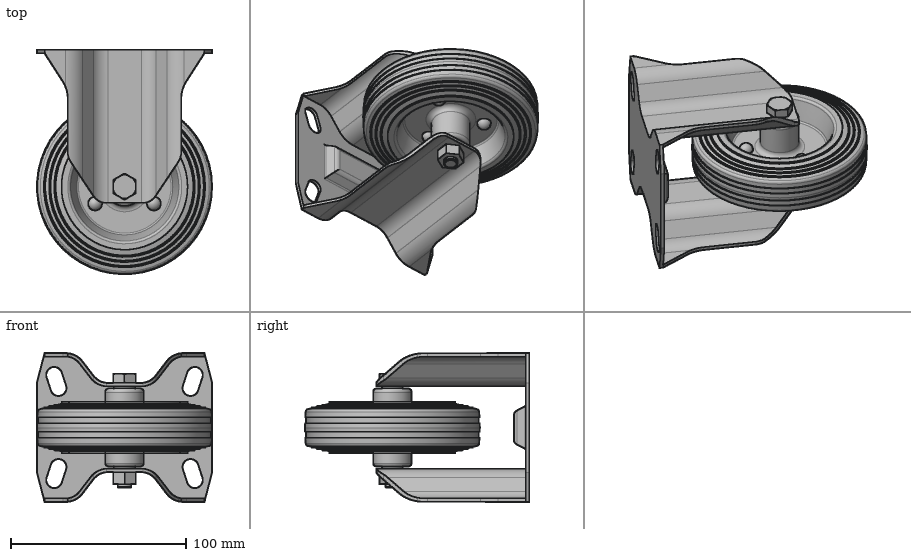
import cadquery as cq
import math


overall_length = 128.0
wheel_radius = 100.0 / 2
plate_back = overall_length - wheel_radius

sheet = 2.0
bracket_half_height = 42.5
bracket_waist_half_height = 25.5
plate_half_width = wheel_radius
plate_side_half_height = 25.6
plate_top_half_width = 45.6
outer_bend_x = 27.6
inner_bend_x = 14.6
outer_bend_radius = 12.3
inner_bend_radius = 10.4

leg_half_width = 32.4
leg_neck_distance = 22.5
leg_neck_radius = 18.4
leg_taper_distance = 61.3
leg_taper_radius = 10.6
leg_end_half_width = 15.1
leg_length = 87.3
leg_end_radius = 8.8

slot_width = 9.0
slot_outer_x = 40.0
slot_outer_z = 30.0
slot_inner_x = 37.6
slot_inner_z = 22.5

boss_height = 6.8
boss_half_width = 30.1
boss_half_height = 12.3
boss_taper = 27.0
boss_edge_radius = 3.1
boss_foot_radius = 1.0

rim_radius = 72.0 / 2
rim_half_width = 14.6
rim_sheet = 1.0
well_top_radius = 31.2
well_floor_radius = 27.1
well_lip_fillet = 1.7
well_floor_fillet = 1.0
web_half_thickness = 1.3
hub_radius = 22.0 / 2
hub_half_length = 22.3
hub_edge_fillet = 2.0
hub_root_fillet = 3.2
bead_radii = [39.7, 42.6, 45.6]
bead_width = 0.9
bead_apex_height = 1.0
bead_rounding = 0.4
shoulder_radius = 49.4
shoulder_half_width = 10.2
shoulder_fillet = 1.8
tread_radius = 49.8
tread_groove_radius = 49.3
tread_groove_inner = 2.4
tread_groove_outer = 5.9
rivet_radius = 8.0 / 2
rivet_circle_radius = 19.3
rivet_angles = [90, 210, 330]

sleeve_diameter = 12.0
bolt_diameter = 8.0
bolt_tip_diameter = 6.7
bolt_tip_length = 2.2
across_flats = 12.9
across_corners = across_flats / math.cos(math.radians(30))
head_height = 5.2
head_chamfer_diameter = 13.5
hex_chamfer_slope = math.tan(math.radians(30))
nut_height = 6.8


def rounded_outline(workplane, corners):
    """Close an outline through corners (x, y, radius); a radius of 0 leaves the corner sharp."""
    path = None
    for index, (x, y, radius) in enumerate(corners):
        corner = cq.Vector(x, y)
        before = cq.Vector(*corners[index - 1][:2])
        after = cq.Vector(*corners[(index + 1) % len(corners)][:2])
        to_before = (before - corner).normalized()
        to_after = (after - corner).normalized()
        half_turn = (math.pi - to_before.getAngle(to_after)) / 2
        setback = radius * math.tan(half_turn)
        arc_start = corner + to_before * setback
        if path is None:
            path = workplane.moveTo(arc_start.x, arc_start.y)
        else:
            path = path.lineTo(arc_start.x, arc_start.y)
        if radius > 0:
            bisector = (to_before + to_after).normalized()
            arc_middle = corner + bisector * (radius / math.cos(half_turn) - radius)
            arc_end = corner + to_after * setback
            path = path.threePointArc((arc_middle.x, arc_middle.y), (arc_end.x, arc_end.y))
    return path.close()


def both_sides(right_half):
    """Extend corners that run from the right edge inward with their mirror image across x = 0."""
    return right_half + [(-x, y, radius) for x, y, radius in reversed(right_half)]


def upside_down(corners):
    """Mirror corners across y = 0, in the reverse order."""
    return [(x, -y, radius) for x, y, radius in reversed(corners)]


def plate_plane():
    return cq.Workplane("XZ", origin=(0, plate_back, 0))


def leg_section(depth):
    """Corners of the bent leg section at a depth below the outer face of the sheet."""
    bend_rise = bracket_half_height - bracket_waist_half_height
    bend_angle = math.atan2(bend_rise, outer_bend_x - inner_bend_x)
    shift = depth * math.tan(bend_angle / 2)
    return both_sides([
        (plate_top_half_width, bracket_half_height - depth, 0),
        (outer_bend_x + shift, bracket_half_height - depth, outer_bend_radius - depth),
        (inner_bend_x + shift, bracket_waist_half_height - depth, inner_bend_radius + depth),
    ])


def make_plate():
    top_edge = leg_section(0)
    left_side = [
        (-plate_half_width, plate_side_half_height, 0),
        (-plate_half_width, -plate_side_half_height, 0),
    ]
    right_side = [(-x, -z, radius) for x, z, radius in left_side]
    corners = top_edge + left_side + upside_down(top_edge) + right_side
    return rounded_outline(plate_plane(), corners).extrude(sheet)


def make_slot(side_x, side_z):
    run_x = slot_outer_x - slot_inner_x
    run_z = slot_outer_z - slot_inner_z
    length = math.hypot(run_x, run_z) + slot_width
    angle = math.degrees(math.atan2(side_z * run_z, side_x * run_x))
    centre_x = side_x * (slot_outer_x + slot_inner_x) / 2
    centre_z = side_z * (slot_outer_z + slot_inner_z) / 2
    return plate_plane().center(centre_x, centre_z).slot2D(length, slot_width, angle).extrude(sheet)


def make_upper_leg():
    section = leg_section(0) + list(reversed(leg_section(sheet)))
    sheet_metal = rounded_outline(plate_plane(), section).extrude(leg_length)
    outline = both_sides([
        (plate_top_half_width, plate_back, 0),
        (plate_top_half_width, plate_back - sheet, 0),
        (leg_half_width, plate_back - leg_neck_distance, leg_neck_radius),
        (leg_half_width, plate_back - leg_taper_distance, leg_taper_radius),
        (leg_end_half_width, plate_back - leg_length, leg_end_radius),
    ])
    blank = rounded_outline(cq.Workplane("XY"), outline).extrude(bracket_half_height)
    return sheet_metal.intersect(blank)


def make_plate_with_boss():
    plate_front = plate_back - sheet
    boss = (
        cq.Workplane("XZ", origin=(0, plate_front, 0))
        .rect(2 * boss_half_width, 2 * boss_half_height)
        .extrude(boss_height, taper=boss_taper)
        .faces("<Y")
        .edges()
        .fillet(boss_edge_radius)
    )
    around_foot = cq.selectors.BoxSelector(
        (-boss_half_width - sheet, plate_front - sheet / 2, -boss_half_height - sheet),
        (boss_half_width + sheet, plate_front + sheet / 2, boss_half_height + sheet),
    )
    return make_plate().union(boss).edges(around_foot).fillet(boss_foot_radius)


def make_bracket():
    upper_leg = make_upper_leg()
    bracket = make_plate_with_boss().union(upper_leg).union(upper_leg.mirror("XY"))
    for side_x in (-1, 1):
        for side_z in (-1, 1):
            bracket = bracket.cut(make_slot(side_x, side_z))
    bolt_hole = cq.Workplane("XY").circle(bolt_diameter / 2).extrude(bracket_half_height, both=True)
    return bracket.cut(bolt_hole)


def side_beads():
    """Rounded ring beads standing on the tyre side, which slopes from the rim to the shoulder."""
    slope = (rim_half_width - rim_sheet - shoulder_half_width) / (shoulder_radius - rim_radius)
    corners = []
    for radius in bead_radii:
        inner = radius - bead_width / 2
        outer = radius + bead_width / 2
        inner_foot = shoulder_half_width + slope * (shoulder_radius - inner)
        outer_foot = shoulder_half_width + slope * (shoulder_radius - outer)
        corners += [
            (inner, inner_foot, 0),
            (radius, (inner_foot + outer_foot) / 2 + bead_apex_height, bead_rounding),
            (outer, outer_foot, 0),
        ]
    return corners


def make_wheel():
    upper_half = [
        (sleeve_diameter / 2, hub_half_length, 0),
        (hub_radius, hub_half_length, hub_edge_fillet),
        (hub_radius, web_half_thickness, hub_root_fillet),
        (well_floor_radius, web_half_thickness, well_floor_fillet),
        (well_top_radius, rim_half_width, well_lip_fillet),
        (rim_radius, rim_half_width, 0),
        (rim_radius, rim_half_width - rim_sheet, 0),
        *side_beads(),
        (shoulder_radius, shoulder_half_width, shoulder_fillet),
        (tread_radius, tread_groove_outer, 0),
        (tread_groove_radius, tread_groove_outer, 0),
        (tread_groove_radius, tread_groove_inner, 0),
        (tread_radius, tread_groove_inner, 0),
    ]
    crown = [(wheel_radius, 0, 0)]
    section = rounded_outline(cq.Workplane("XZ"), upper_half + crown + upside_down(upper_half))
    wheel = section.revolve(360, (0, 0, 0), (0, 1, 0))
    for angle in rivet_angles:
        rivet_x = rivet_circle_radius * math.cos(math.radians(angle))
        rivet_y = rivet_circle_radius * math.sin(math.radians(angle))
        for side in (-1, 1):
            head = cq.Workplane("XY").sphere(rivet_radius)
            wheel = wheel.union(head.translate((rivet_x, rivet_y, side * web_half_thickness)))
    return wheel


def make_sleeve():
    half_length = bracket_waist_half_height - sheet
    sleeve = cq.Workplane("XY").circle(sleeve_diameter / 2).circle(bolt_diameter / 2)
    return sleeve.extrude(half_length, both=True)


def make_hexagon(bottom, height):
    """A hexagonal prism with corners toward +Y and -Y."""
    prism = cq.Workplane("XY").polygon(6, across_corners).extrude(height)
    return prism.rotate((0, 0, 0), (0, 0, 1), 90).translate((0, 0, bottom))


def make_bolt():
    tip_end = -bracket_waist_half_height - nut_height - bolt_tip_length
    chamfer_width = (across_corners - head_chamfer_diameter) / 2
    rounding = (
        cq.Workplane("XY", origin=(0, 0, bracket_waist_half_height))
        .circle(across_corners / 2)
        .extrude(head_height)
        .faces(">Z")
        .chamfer(chamfer_width * hex_chamfer_slope, chamfer_width)
    )
    head = make_hexagon(bracket_waist_half_height, head_height).intersect(rounding)
    shank = (
        cq.Workplane("XY", origin=(0, 0, tip_end))
        .circle(bolt_diameter / 2)
        .extrude(bracket_waist_half_height - tip_end)
        .faces("<Z")
        .chamfer((bolt_diameter - bolt_tip_diameter) / 2)
    )
    return head.union(shank)


def make_nut():
    bottom = -bracket_waist_half_height - nut_height
    nut = make_hexagon(bottom, nut_height)
    bore = cq.Workplane("XY", origin=(0, 0, bottom)).circle(bolt_diameter / 2).extrude(nut_height)
    return nut.cut(bore)


bracket = make_bracket()
wheel = make_wheel()
sleeve = make_sleeve()
bolt = make_bolt()
nut = make_nut()

result = cq.Compound.makeCompound([
    bracket.val(),
    wheel.val(),
    sleeve.val(),
    bolt.val(),
    nut.val(),
])